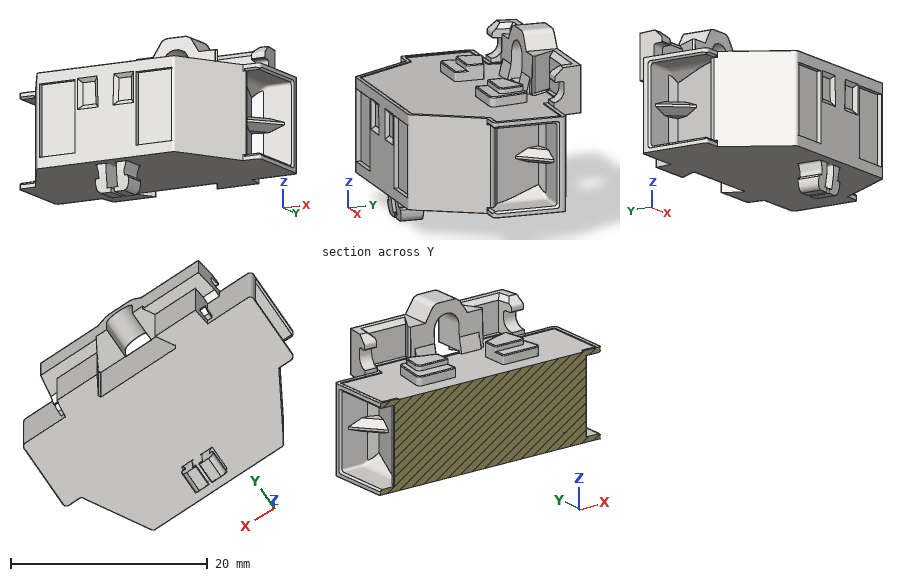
import cadquery as cq


height = 10.0
half_width = 14.06
depth = 18.0
front_half_width = 7.98
wing_front_y = 7.0
wing_front_x = 12.1
wing_back_y = 14.9
tail_back_y = 16.8
tail_root_half = 8.72
tail_end_half = 8.48
wing_corner_radius = 0.45
front_corner_radius = 0.4
rim_width = 0.45
panel_depth = 0.1
base_z = height - panel_depth

cavity_wall = 0.64
cavity_back_y = 13.9
cavity_corner_radius = 0.3
mouth_chamfer = 0.22
wall_end_y = 7.3
wall_slope = (wing_front_x - front_half_width) / wing_front_y
wall_end_x = wing_front_x + wall_slope * (wall_end_y - wing_front_y)
cavity_end_wall = [(-10.6, cavity_back_y), (-9.45, 13.5), (-11.1, 8.4), (-11.75, 7.95)]
wall_nose_mid = (-12.15, 7.7)
ramp_start_x = -10.9
ramp_end_x = -9.42
ramp_rise = 1.21
ramp_blend_radius = 1.6
outside_x = -half_width - 1.0
outside_y = wing_front_y - 0.5

fin_z = 5.15
fin_edge_half = 0.13
fin_root_half = 0.73
fin_tip_x = -13.03
fin_shoulder_x = -11.29
fin_inner_x = -8.0
fin_run_y = 5.0
fin_shift_x = 4.16

label_x0, label_x1 = 3.58, 7.69
label_z0, label_z1 = 1.17, 8.82
label_depth = 0.5
window_depth = 0.35
window_outline = [(0.97, 8.9), (3.26, 8.9), (3.26, 5.65), (0.87, 5.65)]
window_floor = [(1.4, 8.47), (2.84, 8.47), (2.84, 6.1), (1.3, 6.1)]

bracket_z = 9.0
bracket_top = 14.0
bracket_front_half = 10.15
bracket_back_half = 9.66
bracket_inner_front_half = 8.6
bracket_inner_back_half = 8.28
bracket_inner_y = 16.84
bracket_lip = 0.53
bracket_root_z = 8.24
bracket_root_y = 15.58
hook_nose_y = 15.02
hook_back_y = 16.0
hook_z = 12.56
notch_y = 16.1
notch_low_z = 10.44
root_mid = (15.3, 8.68)
nose_upper = (15.15, 13.28)
nose_mid = (15.05, 13.14)
nose_lower_z, nose_base_z = 12.96, 12.65
nose_base_y = 15.1
notch_corner_y, notch_corner_z = 15.82, 12.28
notch_corner_mid = (16.02, 12.48)
notch_arc_z = 11.6
notch_arc_mid = (15.75, 10.8)

hoop_top = 15.8
hoop_top_half = 1.515
hoop_foot_half = 2.68
hoop_corner_radius = 1.0
hoop_front_top_y = 14.69
hoop_front_base_y = 14.47
slot_half = 1.57
slot_front_y = 14.6
arch_center_z = 12.92
dovetail_front_half = 4.72
dovetail_back_half = 2.85
dovetail_shoulder_y = 14.85
dovetail_nose_half = 4.58
dovetail_nose_y = 14.65
socket_top = 10.1
gusset_x0, gusset_x1 = 1.57, 4.06
gusset_top = 11.6
gusset_top_y = 14.53
gusset_front_y = 14.12

button_base_z = 10.95
button_top_z = 11.54
button_base = [(3.0, 9.0), (7.82, 9.0), (7.02, 13.42), (3.0, 12.1)]
button_top = [(3.0, 10.3), (6.9, 10.3), (6.4, 13.22), (3.0, 12.1)]
button_corner_radius = 0.5
button_inner_radius = 0.15
button_edge = 0.1

foot_depth = 3.0
foot_front_y, foot_back_y = 1.2, 3.93
foot_barb_front_y = 1.27
foot_tip_front_y, foot_tip_back_y = 1.5, 3.8
foot_inner_x = 0.6
foot_root_flare = 0.15
foot_root_x = 1.88
foot_waist_x, foot_waist_z = 1.49, -0.9
foot_toe_x, foot_toe_z = 0.2, -2.52
foot_tip_x = 1.33
barb_x, barb_z = 1.93, -1.46
barb_edge = 0.1
barb_edge_drop = 0.22
barb_flank = [(1.85, -2.45), (1.91, -2.1), (barb_x, -1.86)]
foot_tip_mid = (1.68, -2.78)
foot_root_end = (1.65, -0.3)
foot_root_mid = (1.72, -0.12)

lug_z0, lug_z1 = 1.44, 2.47
lug_back_y = 16.1
lug_slope_y = 15.45
lug_slope_z = 2.0
lug_reach = 0.5


def both_sides(solid):
    return solid.union(solid.mirror("YZ"))


def mirrored_outline(right_points):
    """Close a right-hand chain of points with its reflection in X = 0."""
    return right_points + [(-x, y) for x, y in reversed(right_points)]


def prism_z(points, z0, z1):
    return cq.Workplane("XY").workplane(offset=z0).polyline(points).close().extrude(z1 - z0)


def prism_y(points, y0, y1):
    """Extrude an XZ outline from y0 to y1."""
    return cq.Workplane("XZ", origin=(0, y0, 0)).polyline(points).close().extrude(y0 - y1)


def prism_x(points, x0, x1):
    """Extrude a YZ outline from x0 to x1."""
    return cq.Workplane("YZ", origin=(x0, 0, 0)).polyline(points).close().extrude(x1 - x0)


def loft_y(near, far, y0, y1):
    """Ruled solid between an XZ outline at y0 and another at y1."""
    lower = cq.Workplane("XZ", origin=(0, y0, 0)).polyline(near).close()
    return lower.workplane(offset=y0 - y1).polyline(far).close().loft(ruled=True)


def loft_z(lower, upper, z0, z1):
    base = cq.Workplane("XY", origin=(0, 0, z0)).polyline(lower).close()
    return base.workplane(offset=z1 - z0).polyline(upper).close().loft(ruled=True)


def edges_at(x, y, reach=0.05):
    """Selector for the vertical edges standing at one plan position."""
    return cq.selectors.BoxSelector((x - reach, y - reach, -height), (x + reach, y + reach, 2 * height))


def body_outline():
    return mirrored_outline([
        (front_half_width, 0),
        (wing_front_x, wing_front_y),
        (half_width, wing_front_y),
        (half_width, wing_back_y),
        (tail_root_half, wing_back_y),
        (tail_end_half, tail_back_y),
    ])


def housing_body():
    body = prism_z(body_outline(), 0, height)
    for side in (-1, 1):
        for y in (wing_front_y, wing_back_y):
            body = body.edges(edges_at(side * half_width, y)).fillet(wing_corner_radius)
        body = body.edges(edges_at(side * front_half_width, 0)).fillet(front_corner_radius)
    return body


def top_panel():
    """Shallow recess that leaves a narrow rim around the top face."""
    return (
        cq.Workplane("XY").workplane(offset=base_z)
        .polyline(body_outline()).close()
        .offset2D(-rim_width, "intersection")
        .extrude(panel_depth)
    )


def guide_fin():
    """Knife-edged fin running obliquely from the cavity's rear wall to its end wall."""
    def section(shift):
        upper = [
            (fin_tip_x + shift, fin_z + fin_edge_half),
            (fin_shoulder_x + shift, fin_z + fin_root_half),
            (fin_inner_x + shift, fin_z + fin_root_half),
        ]
        return upper + [(x, 2 * fin_z - z) for x, z in reversed(upper)]

    return loft_y(section(fin_shift_x), section(0), cavity_back_y - fin_run_y, cavity_back_y)


def wire_cavity():
    """Left-hand entry cavity, open towards -X and -Y, with ramped floor and ceiling."""
    plan = (
        cq.Workplane("XY")
        .moveTo(outside_x, cavity_back_y)
        .polyline(cavity_end_wall, includeCurrent=True)
        .threePointArc(wall_nose_mid, (-wall_end_x, wall_end_y))
        .lineTo(-wing_front_x, wing_front_y)
        .lineTo(-wing_front_x, outside_y)
        .lineTo(outside_x, outside_y)
        .close()
        .extrude(height)
    )
    floor = [
        (outside_x, cavity_wall),
        (ramp_start_x, cavity_wall),
        (ramp_end_x, cavity_wall + ramp_rise),
    ]
    elevation = floor + [(x, height - z) for x, z in reversed(floor)]
    envelope = prism_y(elevation, outside_y, cavity_back_y)
    ramp_middle_y = (outside_y + cavity_back_y) / 2
    for z in (cavity_wall, height - cavity_wall):
        ramp_foot = cq.selectors.NearestToPointSelector((ramp_start_x, ramp_middle_y, z))
        envelope = envelope.edges(ramp_foot).fillet(ramp_blend_radius)
    envelope = envelope.edges("|X and >Y").fillet(cavity_corner_radius)
    cavity = plan.intersect(envelope).cut(guide_fin())

    def mouth_section(x, grow):
        low = cavity_wall - grow
        high = height - low
        back = cavity_back_y + grow
        radius = cavity_corner_radius
        return (
            cq.Workplane("YZ", origin=(x, 0, 0))
            .moveTo(outside_y, low)
            .lineTo(back - radius, low)
            .radiusArc((back, low + radius), -radius)
            .lineTo(back, high - radius)
            .radiusArc((back - radius, high), -radius)
            .lineTo(outside_y, high)
            .close()
            .val()
        )

    inner = mouth_section(-half_width + mouth_chamfer, 0)
    outer = mouth_section(-half_width, mouth_chamfer)
    mouth = cq.Workplane(cq.Solid.makeLoft([inner, outer], True))

    front_edge = prism_x(
        [
            (wing_front_y, cavity_wall - mouth_chamfer),
            (wing_front_y + mouth_chamfer, cavity_wall),
            (wing_front_y + mouth_chamfer, height - cavity_wall),
            (wing_front_y, height - cavity_wall + mouth_chamfer),
        ],
        -half_width, -wall_end_x,
    )
    return cavity.union(mouth).union(front_edge)


def front_recesses():
    label = (
        cq.Workplane("XY")
        .box(label_x1 - label_x0, label_depth, label_z1 - label_z0, centered=False)
        .translate((label_x0, 0, label_z0))
    )
    window = loft_y(window_outline, window_floor, 0, window_depth)
    return both_sides(label.union(window))


def rear_bracket():
    """U-shaped bracket whose two arms end in hooks above round notches."""
    profile = (
        cq.Workplane("YZ", origin=(-half_width, 0, 0))
        .moveTo(wing_back_y, bracket_root_z)
        .threePointArc(root_mid, (bracket_root_y, bracket_z))
        .lineTo(depth, bracket_z)
        .lineTo(depth, bracket_top)
        .lineTo(hook_back_y, bracket_top)
        .lineTo(*nose_upper)
        .threePointArc(nose_mid, (hook_nose_y, nose_lower_z))
        .lineTo(hook_nose_y, nose_base_z)
        .lineTo(nose_base_y, hook_z)
        .lineTo(notch_corner_y, hook_z)
        .threePointArc(notch_corner_mid, (notch_y, notch_corner_z))
        .lineTo(notch_y, notch_arc_z)
        .threePointArc(notch_arc_mid, (wing_back_y, notch_low_z))
        .close()
        .extrude(2 * half_width)
    )
    slope = (bracket_front_half - bracket_back_half) / (depth - wing_back_y)
    outer = mirrored_outline([(bracket_front_half, wing_back_y), (bracket_back_half, depth)])
    bracket = profile.intersect(prism_z(outer, 0, bracket_top))

    inner_front_half = bracket_inner_front_half + slope * (wing_back_y - gusset_front_y)

    def inner_outline(grow):
        return mirrored_outline([
            (inner_front_half + grow, gusset_front_y),
            (bracket_inner_back_half + grow, bracket_inner_y + grow),
        ])

    lip_z = bracket_top - bracket_lip
    pocket = prism_z(inner_outline(0), height, lip_z)
    flare = loft_z(inner_outline(0), inner_outline(bracket_lip), lip_z, bracket_top)
    return bracket.cut(pocket).cut(flare)


def dovetail_outline(front_y):
    return mirrored_outline([
        (dovetail_nose_half, front_y),
        (dovetail_nose_half, dovetail_nose_y),
        (dovetail_front_half, dovetail_shoulder_y),
        (dovetail_back_half, depth),
    ])


def dovetail_socket():
    """Socket below the dovetail that lets identical parts interlock."""
    return prism_z(dovetail_outline(slot_front_y), 0, socket_top)


def hoop():
    """Arched hoop standing on a dovetail-shaped block with a leaning front face."""
    arch = prism_y(
        mirrored_outline([
            (hoop_foot_half, base_z),
            (hoop_foot_half, bracket_top),
            (hoop_top_half, hoop_top),
        ]),
        gusset_front_y, depth,
    )
    arch = arch.edges("|Y and >Z").fillet(hoop_corner_radius)
    dovetail = prism_z(dovetail_outline(gusset_front_y), base_z, bracket_top)
    lean = prism_x(
        [
            (hoop_front_base_y, base_z),
            (hoop_front_top_y, hoop_top),
            (depth, hoop_top),
            (depth, base_z),
        ],
        -half_width, half_width,
    )
    gusset = prism_x(
        [
            (gusset_front_y, base_z),
            (hoop_front_top_y, base_z),
            (hoop_front_top_y, gusset_top),
            (gusset_top_y, gusset_top),
        ],
        gusset_x0, gusset_x1,
    )
    return arch.union(dovetail).intersect(lean).union(both_sides(gusset))


def hoop_slot():
    """Arched opening that continues down through the back of the housing."""
    length = depth - slot_front_y
    shaft = (
        cq.Workplane("XY")
        .box(2 * slot_half, length, arch_center_z, centered=False)
        .translate((-slot_half, slot_front_y, 0))
    )
    opening = (
        cq.Workplane("XZ", origin=(0, gusset_front_y, 0))
        .moveTo(-slot_half, height)
        .lineTo(slot_half, height)
        .lineTo(slot_half, arch_center_z)
        .threePointArc((0, arch_center_z + slot_half), (-slot_half, arch_center_z))
        .close()
        .extrude(gusset_front_y - depth)
    )
    return shaft.union(opening)


def buttons():
    def tier(outline, z0, z1):
        solid = prism_z(outline, z0, z1)
        for index, (x, y) in enumerate(outline):
            is_outer = index in (1, 2)
            radius = button_corner_radius if is_outer else button_inner_radius
            solid = solid.edges(edges_at(x, y)).fillet(radius)
        return solid.faces(">Z").edges().chamfer(button_edge)

    base = tier(button_base, base_z, button_base_z)
    top = tier(button_top, height, button_top_z)
    return both_sides(base.union(top))


def snap_feet():
    leg = (
        cq.Workplane("XZ", origin=(0, foot_front_y, 0))
        .moveTo(foot_inner_x - foot_root_flare, 0)
        .radiusArc((foot_inner_x, -foot_root_flare), foot_root_flare)
        .lineTo(foot_inner_x, foot_toe_z)
        .lineTo(foot_toe_x, foot_toe_z)
        .lineTo(foot_toe_x, -foot_depth)
        .lineTo(foot_tip_x, -foot_depth)
        .threePointArc(foot_tip_mid, barb_flank[0])
        .polyline(barb_flank)
        .lineTo(barb_x, barb_z - barb_edge_drop)
        .lineTo(barb_x - barb_edge, barb_z)
        .lineTo(foot_waist_x, barb_z)
        .lineTo(foot_waist_x, foot_waist_z)
        .lineTo(*foot_root_end)
        .threePointArc(foot_root_mid, (foot_root_x, 0))
        .close()
        .extrude(foot_front_y - foot_back_y)
    )
    taper = prism_x(
        [
            (foot_front_y, 0),
            (foot_front_y, foot_waist_z),
            (foot_barb_front_y, barb_z),
            (foot_tip_front_y, -foot_depth),
            (foot_tip_back_y, -foot_depth),
            (foot_back_y, 0),
        ],
        -half_width, half_width,
    )
    return both_sides(leg.intersect(taper))


def rear_lugs():
    lug = prism_x(
        [
            (wing_back_y, lug_z0),
            (lug_slope_y, lug_z0),
            (lug_back_y, lug_slope_z),
            (lug_back_y, lug_z1),
            (wing_back_y, lug_z1),
        ],
        tail_end_half - lug_reach, tail_root_half + lug_reach,
    )
    return both_sides(lug)


result = (
    housing_body()
    .union(rear_bracket())
    .cut(top_panel())
    .cut(both_sides(wire_cavity()))
    .cut(front_recesses())
    .union(hoop())
    .cut(dovetail_socket())
    .cut(hoop_slot())
    .union(buttons())
    .union(snap_feet())
    .union(rear_lugs())
)